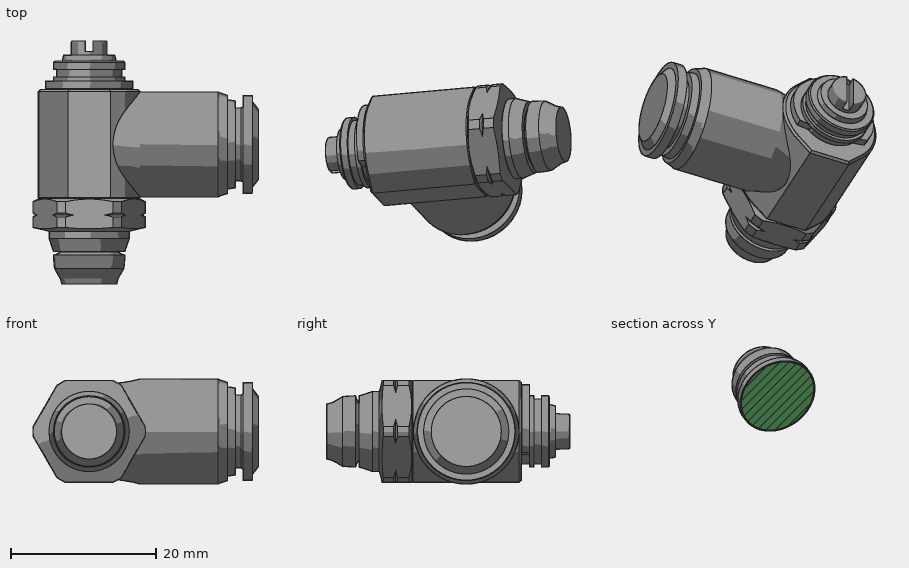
import cadquery as cq
import math


ACROSS_FLATS = 14.05
BODY_APOTHEM = ACROSS_FLATS / 2
BODY_TOP = 7.57
BODY_BOTTOM = -7.47
BODY_TOP_CHAMFER = 0.3
BODY_BOTTOM_CHAMFER = 0.17

HEX_APOTHEM = ACROSS_FLATS / 2
HEX_CORNER_RADIUS = 7.75
HEX_TOP = BODY_BOTTOM
HEX_TOP_RIM = -7.87
HEX_BOTTOM_RIM = -11.42
HEX_BOTTOM = -12.0
HEX_TOP_RADIUS = 6.95
HEX_BOTTOM_RADIUS = 5.35
NOTCH_STATION = -9.7
NOTCH_HALF_WIDTH = 0.27
NOTCH_BOTTOM_RADIUS = 7.35

NECK_RADIUS = 5.53
NECK_END = -12.93
PLUG_RADIUS = 4.92
SKIRT_END = -14.75
GROOVE_END = -14.77
GROOVE_RADIUS = 4.0
GROOVE_CREASE = -15.05
GROOVE_CREASE_RADIUS = 4.35
SEAL_START = -15.25
SEAL_MID = -16.18
SEAL_MID_RADIUS = 4.9
SEAL_END = -17.05
SEAL_END_RADIUS = 4.8
TAPER_END = -18.45
TAPER_END_RADIUS = 4.0
PLUG_END = -19.23
PLUG_END_RADIUS = 3.8

SHAFT_RADIUS = 4.5
CLIP_START = 7.67
CLIP_END = 8.7
HEAD_RADIUS = 4.92
COLLAR_END = 9.3
KNOB_START = 10.35
KNOB_END = 11.5
KNOB_CHAMFER = 0.2
SHOULDER_RADIUS = 3.7
SHOULDER_RIM = 11.7
SHOULDER_END = 12.3
SHOULDER_END_RADIUS = 3.52
SCREW_RADIUS = 2.48
SCREW_END = 14.27
SCREW_FILLET = 0.27
SLOT_WIDTH = 1.0
SLOT_DEPTH = 1.47

CLIP_RADIUS = 6.03
CLIP_OFFSET = 0.45
CLIP_TIP_OUTER_Z = -2.88
CLIP_TIP_INNER_Z = -3.15

ROOT_START = 3.28
ROOT_START_RADIUS = 6.63
ROOT_MID = 5.15
ROOT_MID_RADIUS = 6.85
BARREL_START = 7.0
BARREL_DIAMETER = 14.5
BARREL_RADIUS = BARREL_DIAMETER / 2
BARREL_END = 17.72
BEVEL_EDGE = 18.02
BEVEL_EDGE_RADIUS = 7.1
BEVEL_END = 19.05
BEVEL_END_RADIUS = 6.77
INSERT_RADIUS = 6.15
INSERT_END = 20.15
INSERT_END_RADIUS = 6.0
SLEEVE_RADIUS = 5.02
SLEEVE_FLARE = 20.87
FLARE_RADIUS = 5.2
FLANGE_START = 21.2
FLANGE_RADIUS = 6.75
FLANGE_RIM = 22.38
FLANGE_FACE = 22.5
FLANGE_FACE_RADIUS = 6.7
CONE_RADIUS = 5.85
BRANCH_END = 23.3
BRANCH_END_RADIUS = 4.82


def turned_on_y(points):
    """Solid turned about the Y axis from (radius, station) points."""
    profile = cq.Workplane("XY").polyline(points).close()
    return profile.revolve(360, (0, 0, 0), (0, 1, 0))


def prism_on_y(outline, bottom, top):
    """Extrude an outline, sketched on the XZ plane, between two Y stations."""
    return outline.extrude(top - bottom).translate((0, top, 0))


def make_body():
    half_flat = BODY_APOTHEM * math.tan(math.pi / 8)
    tangent = BODY_APOTHEM * math.sqrt(0.5)
    outline = (
        cq.Workplane("XZ")
        .moveTo(-half_flat, BODY_APOTHEM)
        .lineTo(half_flat, BODY_APOTHEM)
        .lineTo(tangent, tangent)
        .threePointArc((BODY_APOTHEM, 0), (tangent, -tangent))
        .lineTo(half_flat, -BODY_APOTHEM)
        .lineTo(-half_flat, -BODY_APOTHEM)
        .lineTo(-tangent, -tangent)
        .threePointArc((-BODY_APOTHEM, 0), (-tangent, tangent))
        .close()
    )
    body = prism_on_y(outline, BODY_BOTTOM, BODY_TOP)
    body = body.faces(">Y").edges().chamfer(BODY_TOP_CHAMFER)
    return body.faces("<Y").edges().chamfer(BODY_BOTTOM_CHAMFER)


def make_hexagon():
    corner_circle = 2 * HEX_APOTHEM / math.cos(math.pi / 6)
    outline = cq.Workplane("XZ").polygon(6, corner_circle)
    prism = prism_on_y(outline, HEX_BOTTOM, HEX_TOP)
    envelope = turned_on_y([
        (0, HEX_TOP),
        (HEX_TOP_RADIUS, HEX_TOP),
        (HEX_CORNER_RADIUS, HEX_TOP_RIM),
        (HEX_CORNER_RADIUS, NOTCH_STATION + NOTCH_HALF_WIDTH),
        (NOTCH_BOTTOM_RADIUS, NOTCH_STATION),
        (HEX_CORNER_RADIUS, NOTCH_STATION - NOTCH_HALF_WIDTH),
        (HEX_CORNER_RADIUS, HEX_BOTTOM_RIM),
        (HEX_BOTTOM_RADIUS, HEX_BOTTOM),
        (0, HEX_BOTTOM),
    ])
    return prism.intersect(envelope)


def make_plug():
    profile = (
        cq.Workplane("XY")
        .moveTo(0, HEX_BOTTOM)
        .lineTo(NECK_RADIUS, HEX_BOTTOM)
        .lineTo(NECK_RADIUS, NECK_END)
        .lineTo(PLUG_RADIUS, SKIRT_END)
        .lineTo(GROOVE_RADIUS, SKIRT_END)
        .lineTo(GROOVE_RADIUS, GROOVE_END)
        .lineTo(GROOVE_CREASE_RADIUS, GROOVE_CREASE)
        .lineTo(PLUG_RADIUS, SEAL_START)
        .threePointArc((SEAL_MID_RADIUS, SEAL_MID), (SEAL_END_RADIUS, SEAL_END))
        .lineTo(TAPER_END_RADIUS, TAPER_END)
        .lineTo(PLUG_END_RADIUS, PLUG_END)
        .lineTo(0, PLUG_END)
        .close()
    )
    return profile.revolve(360, (0, 0, 0), (0, 1, 0))


def make_head():
    head = turned_on_y([
        (0, BODY_TOP),
        (SHAFT_RADIUS, BODY_TOP),
        (SHAFT_RADIUS, CLIP_END),
        (HEAD_RADIUS, CLIP_END),
        (HEAD_RADIUS, COLLAR_END),
        (SHAFT_RADIUS, COLLAR_END),
        (SHAFT_RADIUS, KNOB_START),
        (HEAD_RADIUS, KNOB_START),
        (HEAD_RADIUS, KNOB_END - KNOB_CHAMFER),
        (HEAD_RADIUS - KNOB_CHAMFER, KNOB_END),
        (SHOULDER_RADIUS, KNOB_END),
        (SHOULDER_RADIUS, SHOULDER_RIM),
        (SHOULDER_END_RADIUS, SHOULDER_END),
        (SCREW_RADIUS, SHOULDER_END),
        (SCREW_RADIUS, SCREW_END),
        (0, SCREW_END),
    ])
    head = head.faces(">Y").edges().fillet(SCREW_FILLET)
    slot = cq.Workplane("XY").box(SLOT_WIDTH, 2 * SLOT_DEPTH, 2 * HEAD_RADIUS)
    return head.cut(slot.translate((0, SCREW_END, 0)))


def make_clip():
    outer_x = math.sqrt(CLIP_RADIUS ** 2 - (CLIP_TIP_OUTER_Z - CLIP_OFFSET) ** 2)
    inner_x = math.sqrt(SHAFT_RADIUS ** 2 - CLIP_TIP_INNER_Z ** 2)
    clip_crown = CLIP_OFFSET + CLIP_RADIUS
    outline = (
        cq.Workplane("XZ")
        .moveTo(-inner_x, CLIP_TIP_INNER_Z)
        .lineTo(-outer_x, CLIP_TIP_OUTER_Z)
        .threePointArc((0, clip_crown), (outer_x, CLIP_TIP_OUTER_Z))
        .lineTo(inner_x, CLIP_TIP_INNER_Z)
        .close()
    )
    return prism_on_y(outline, CLIP_START, CLIP_END)


def make_branch():
    profile = (
        cq.Workplane("XY")
        .moveTo(0, 0)
        .lineTo(0, ROOT_START_RADIUS)
        .lineTo(ROOT_START, ROOT_START_RADIUS)
        .threePointArc((ROOT_MID, ROOT_MID_RADIUS), (BARREL_START, BARREL_RADIUS))
        .lineTo(BARREL_END, BARREL_RADIUS)
        .lineTo(BEVEL_EDGE, BEVEL_EDGE_RADIUS)
        .lineTo(BEVEL_END, BEVEL_END_RADIUS)
        .lineTo(BEVEL_END, INSERT_RADIUS)
        .lineTo(INSERT_END, INSERT_END_RADIUS)
        .lineTo(INSERT_END, SLEEVE_RADIUS)
        .lineTo(SLEEVE_FLARE, SLEEVE_RADIUS)
        .lineTo(FLANGE_START, FLARE_RADIUS)
        .lineTo(FLANGE_START, FLANGE_RADIUS)
        .lineTo(FLANGE_RIM, FLANGE_RADIUS)
        .lineTo(FLANGE_FACE, FLANGE_FACE_RADIUS)
        .lineTo(FLANGE_FACE, CONE_RADIUS)
        .lineTo(BRANCH_END, BRANCH_END_RADIUS)
        .lineTo(BRANCH_END, 0)
        .close()
    )
    return profile.revolve(360, (0, 0, 0), (1, 0, 0))


result = make_body()
for section in (make_hexagon(), make_plug(), make_head(), make_clip(), make_branch()):
    result = result.union(section)